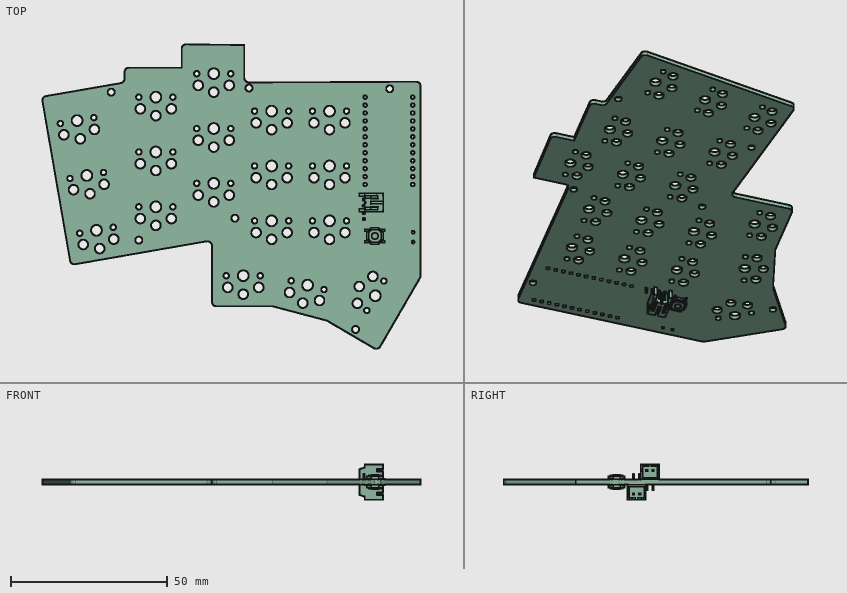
import cadquery as cq
import math

board_thickness = 1.7
board_top = board_thickness / 2
corner_radius = 1.5
board_corners = [
    ((-60.7, 32.0), True),
    ((-34.2, 36.5), True),
    ((-34.2, 41.3), True),
    ((-16.0, 41.3), False),
    ((-16.0, 48.8), True),
    ((4.1, 48.5), False),
    ((4.1, 36.5), True),
    ((60.5, 36.8), True),
    ((60.5, -25.7), False),
    ((46.8, -49.2), True),
    ((30.5, -39.7), False),
    ((13.1, -35.1), False),
    ((-6.3, -35.1), True),
    ((-6.3, -14.0), True),
    ((-51.4, -21.9), True),
]

column_pitch = 18.5
row_pitch = 17.5
rows_per_column = 3
inner_column_x = 31.3
column_bottom_y = [-7.7, -7.7, 4.2, -3.3]
pinky_tilt = 10
pinky_bottom_key = (-43.2, -10.8)
pinky_pitch = row_pitch / math.cos(math.radians(pinky_tilt))

thumb_keys = [(3.8, -25.3, 0), (24.3, -28.3, -15), (46.0, -31.7, -120)]

post_diameter = 3.4
locator_diameter = 1.7
locator_offset = 5.5
contact_diameter = 3.0
side_contact_x = 5.0
side_contact_y = -3.8
rear_contact_y = -5.9

screw_diameter = 2.2
screw_places = [(-38.5, 33.4), (-29.6, -13.9), (1.1, -6.9), (5.6, 34.7), (39.7, -42.5), (50.6, 34.5)]
controller_hole_diameter = 1.1
controller_pitch = 2.5
controller_rows = 12
controller_bottom_y = 3.9
controller_columns_x = [42.7, 58.0]
battery_hole_diameter = 0.8
battery_hole_x = 58.1
battery_holes_y = [-14.5, -11.4]

connector_back_x = 40.9
connector_length = 7.6
connector_width = 5.9
connector_height = 4.8
connector_front_x = connector_back_x + connector_length
top_connector_y = -1.9
connector_spacing = 4.2
pin_pitch = 2.0
bottom_connector_y = top_connector_y - connector_spacing
arm_length = 1.7
arm_thickness = 1.0
arm_back_height = 3.3
arm_front_height = 3.9
back_wall_x = connector_back_x + arm_length
back_groove_width = 0.5
back_groove_depth = 0.4
cavity_back_x = 44.5
cavity_wall = 0.6
center_slot_width = 0.8
side_slot_width = 0.8
side_slot_offset = 1.8
side_slot_back_x = 42.8
side_slot_front_x = 46.8
window_back_x = 46.5
window_bottom = 2.5
window_height = 0.7
pin_width = 0.5
pin_x = back_wall_x - pin_width / 2
contact_height = window_bottom + window_height / 2
contact_front_x = 48.2
pin_protrusion = 1.8
pin_tip_chamfer = 0.1
pin_hole_diameter = 0.75

switch_center = (45.9, -12.6)
switch_base_size = 5.2
switch_base_chamfer = 1.5
switch_base_height = 1.0
switch_cover_size = 4.0
switch_cover_chamfer = 0.8
switch_height = 1.5
button_diameter = 2.0
button_rise = 0.1
lead_span = 6.4
lead_width = 0.6
lead_thickness = 0.2
lead_offset = 1.8


def box(x_range, y_range, z_range):
    """Block between two x, two y and two z values."""
    size = [high - low for low, high in (x_range, y_range, z_range)]
    corner = (x_range[0], y_range[0], z_range[0])
    return cq.Workplane("XY").box(*size, centered=False).translate(corner)


def around(center, width):
    """Range of the given width about a centre value."""
    return (center - width / 2, center + width / 2)


def board_plate():
    """Plate with the stepped outline of the key columns."""
    outline = [point for point, _ in board_corners]
    plate = cq.Workplane("XY", origin=(0, 0, -board_top)).polyline(outline).close().extrude(board_thickness)
    for (x, y), is_rounded in board_corners:
        if is_rounded:
            plate = plate.edges("|Z").edges(cq.NearestToPointSelector((x, y, 0))).fillet(corner_radius)
    return plate


def key_positions():
    """Place and rotation of every key."""
    keys = list(thumb_keys)
    for column, bottom_y in enumerate(column_bottom_y):
        for row in range(rows_per_column):
            keys.append((inner_column_x - column * column_pitch, bottom_y + row * row_pitch, 0))
    tilt = math.radians(pinky_tilt)
    for row in range(rows_per_column):
        along = row * pinky_pitch
        x = pinky_bottom_key[0] - along * math.sin(tilt)
        y = pinky_bottom_key[1] + along * math.cos(tilt)
        keys.append((x, y, pinky_tilt))
    return keys


def placed(local_points, keys):
    """Points of one key repeated at every key."""
    points = []
    for key_x, key_y, angle in keys:
        cosine = math.cos(math.radians(angle))
        sine = math.sin(math.radians(angle))
        for x, y in local_points:
            points.append((key_x + x * cosine - y * sine, key_y + x * sine + y * cosine))
    return points


def pin_positions(center_y):
    """Pin centres of a connector centred on the given y."""
    return [(pin_x, center_y + side * pin_pitch / 2) for side in (-1, 1)]


def make_board():
    keys = key_positions()
    locators = [(-locator_offset, 0), (locator_offset, 0)]
    contacts = [(-side_contact_x, side_contact_y), (side_contact_x, side_contact_y), (0, rear_contact_y)]
    controller_holes = [
        (x, controller_bottom_y + row * controller_pitch)
        for x in controller_columns_x
        for row in range(controller_rows)
    ]
    hole_groups = [
        (post_diameter, placed([(0, 0)], keys)),
        (locator_diameter, placed(locators, keys)),
        (contact_diameter, placed(contacts, keys)),
        (screw_diameter, screw_places),
        (controller_hole_diameter, controller_holes),
        (battery_hole_diameter, [(battery_hole_x, y) for y in battery_holes_y]),
        (pin_hole_diameter, pin_positions(top_connector_y) + pin_positions(bottom_connector_y)),
    ]
    board = board_plate()
    for diameter, places in hole_groups:
        drills = cq.Workplane("XY", origin=(0, 0, -board_top)).pushPoints(places)
        board = board.cut(drills.circle(diameter / 2).extrude(board_thickness))
    return board


def make_connector(center_y):
    """Connector standing on the top face of the board."""
    top = board_top + connector_height
    profile = [
        (connector_back_x, board_top),
        (connector_back_x, board_top + arm_back_height),
        (back_wall_x, board_top + arm_front_height),
        (back_wall_x, top),
        (connector_front_x, top),
        (connector_front_x, board_top),
    ]
    side_plane = cq.Workplane("XZ", origin=(0, center_y, 0))
    housing = side_plane.polyline(profile).close().extrude(connector_width / 2, both=True)

    arm_gap = around(center_y, connector_width - 2 * arm_thickness)
    housing = housing.cut(box((connector_back_x, back_wall_x), arm_gap, (board_top, top)))

    groove_x = (back_wall_x, back_wall_x + back_groove_depth)
    housing = housing.cut(box(groove_x, around(center_y, back_groove_width), (board_top, top)))

    cavity_width = connector_width - 2 * cavity_wall
    cavity_z = (board_top + cavity_wall, top - cavity_wall)
    housing = housing.cut(box((cavity_back_x, connector_front_x), around(center_y, cavity_width), cavity_z))

    top_wall = (top - cavity_wall, top)
    center_slot_y = around(center_y, center_slot_width)
    housing = housing.cut(box((cavity_back_x, connector_front_x), center_slot_y, top_wall))
    for side in (-1, 1):
        slot_y = around(center_y + side * side_slot_offset, side_slot_width)
        housing = housing.cut(box((side_slot_back_x, side_slot_front_x), slot_y, top_wall))

    window_z = (board_top + window_bottom, board_top + window_bottom + window_height)
    window_x = (window_back_x, connector_front_x)
    housing = housing.cut(box(window_x, around(center_y, connector_width), window_z))

    contact_z = around(board_top + contact_height, pin_width)
    leg_z = (-board_top - pin_protrusion, contact_z[1])
    for x, y in pin_positions(center_y):
        pin_y = around(y, pin_width)
        leg = box(around(x, pin_width), pin_y, leg_z).faces("<Z").chamfer(pin_tip_chamfer)
        contact = box((x, contact_front_x), pin_y, contact_z)
        housing = housing.union(leg).union(contact)
    return housing


def octagon(size, chamfer, bottom, height):
    """Square block with chamfered corners, standing on the switch axis."""
    block = cq.Workplane("XY", origin=(*switch_center, bottom)).rect(size, size).extrude(height)
    return block.edges("|Z").chamfer(chamfer)


def make_switch():
    """Push switch standing on the top face of the board."""
    cover_height = switch_height - button_rise
    switch = octagon(switch_base_size, switch_base_chamfer, board_top, switch_base_height)
    switch = switch.union(octagon(switch_cover_size, switch_cover_chamfer, board_top, cover_height))
    for side in (-1, 1):
        lead_y = around(switch_center[1] + side * lead_offset, lead_width)
        lead_z = (board_top, board_top + lead_thickness)
        switch = switch.union(box(around(switch_center[0], lead_span), lead_y, lead_z))
    button = cq.Workplane("XY", origin=(*switch_center, board_top)).circle(button_diameter / 2)
    return switch.union(button.extrude(switch_height))


board = make_board()
connectors = [make_connector(top_connector_y), make_connector(bottom_connector_y).mirror("XY")]
switches = [make_switch(), make_switch().mirror("XY")]

result = cq.Compound.makeCompound([body.val() for body in [board, *connectors, *switches]])